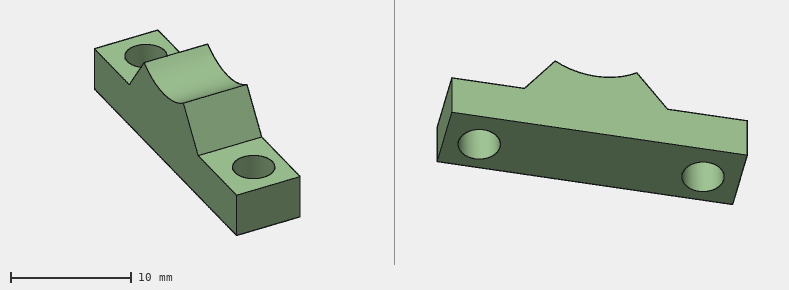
import cadquery as cq
import math

length = 25.08
width = 6.0
base_height = 4.01

overall_height = 7.72
mound_center_x = 12.25
foot_half_width = 6.07
crest_half_width = 3.45

saddle_radius = 6.0

hole_diameter = 3.5
hole_spacing = 18.99
first_hole_x = 3.0
hole_y = 3.25

saddle_axis_z = overall_height + math.sqrt(saddle_radius**2 - crest_half_width**2)
saddle_bottom_z = saddle_axis_z - saddle_radius


def body():
    """Side profile of the bar with its mound and saddle, extruded across the width."""
    profile = (
        cq.Workplane("XZ")
        .moveTo(0, 0)
        .lineTo(length, 0)
        .lineTo(length, base_height)
        .lineTo(mound_center_x + foot_half_width, base_height)
        .lineTo(mound_center_x + crest_half_width, overall_height)
        .threePointArc(
            (mound_center_x, saddle_bottom_z),
            (mound_center_x - crest_half_width, overall_height),
        )
        .lineTo(mound_center_x - foot_half_width, base_height)
        .lineTo(0, base_height)
        .close()
    )
    return profile.extrude(-width)


def screw_holes():
    """Two plain cylinders that pass through the bar."""
    centers = [(first_hole_x + i * hole_spacing, hole_y) for i in range(2)]
    return cq.Workplane("XY").pushPoints(centers).circle(hole_diameter / 2).extrude(base_height)


result = body().cut(screw_holes())